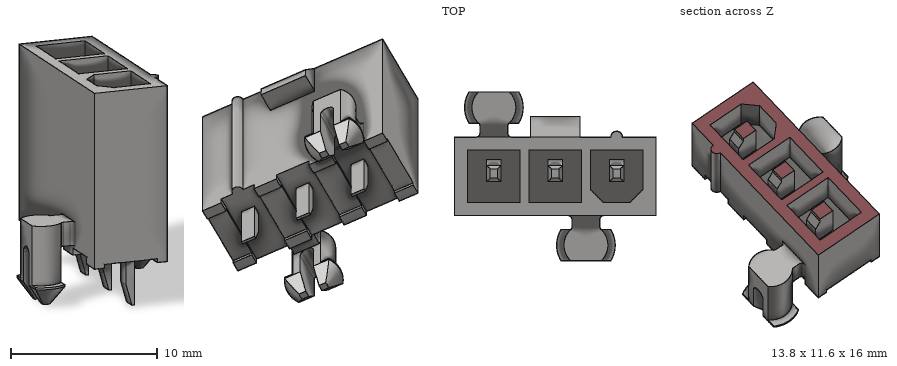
import cadquery as cq
import math


pitch = 4.2
body_length = 13.8
body_depth = 5.38
body_height = 12.47

pocket_size = 3.59
pocket_depth = 9.57
key_chamfer = 0.9

standoff = 0.51
end_foot_length = 1.44
mid_foot_length = 1.7
sole_depth = 0.73
foot_groove_height = 0.27

latch_width = 3.4
latch_reach = 1.4
latch_height = 3.05
latch_ramp_height = 2.26
rib_radius = 0.4

pin_width = 0.99
pin_back_y = 1.15
tail_thickness = 0.62
tail_tip_thickness = 0.19
tail_length = 3.48
tail_bevel_start = 1.98
blade_back_y = 0.75
blade_shoulder_height = 0.59
blade_front_y = -0.37
blade_recess = 3.51
blade_shoulder_depth = 7.98
blade_tip_height = 1.15
blade_tip_inset = 0.24

peg_radius = 1.5
peg_thickness = 2.15
peg_offset = 4.7
peg_top = 2.44
neck_width = 1.91
neck_fillet = 0.27
barb_radius = 2.01
barb_top = -1.77
barb_rim_height = 0.15
barb_bottom = -3.24
barb_tip_radius = 1.04
barb_tip_thickness = 0.46
slot_width = 1.0
slot_top = 0.73

pocket_floor = body_height - pocket_depth
way_xs = [-pitch, 0, pitch]
front_peg_x = pitch / 2
back_peg_x = -pitch


def block(x_size, y_size, z_low, z_high):
    """Box centred on the Z axis between two heights."""
    return cq.Workplane("XY").workplane(offset=z_low).rect(x_size, y_size).extrude(z_high - z_low)


def make_foot(length):
    """Bar across the underside, grooved so that only its two ends touch down."""
    groove = block(length, body_depth - 2 * sole_depth, 0, foot_groove_height)
    return block(length, body_depth, 0, standoff).cut(groove)


def make_housing():
    """Hollow housing standing on two end feet and two middle feet."""
    body = block(body_length, body_depth, standoff, body_height)

    end_foot_x = (body_length - end_foot_length) / 2
    mid_foot_x = pitch / 2
    for side in (-1, 1):
        body = body.union(make_foot(end_foot_length).translate((side * end_foot_x, 0, 0)))
        body = body.union(make_foot(mid_foot_length).translate((side * mid_foot_x, 0, 0)))

    for x in way_xs:
        pocket = block(pocket_size, pocket_size, pocket_floor, body_height)
        if x == way_xs[-1]:
            pocket = pocket.edges("|Z and <Y").chamfer(key_chamfer)
        body = body.cut(pocket.translate((x, 0, 0)))
    return body


def make_latch():
    """Ramped catch that grows out of the back face from the top edge."""
    back = body_depth / 2
    outline = [
        (back, body_height),
        (back + latch_reach, body_height - latch_ramp_height),
        (back + latch_reach, body_height - latch_height),
        (back, body_height - latch_height),
    ]
    return cq.Workplane("YZ").polyline(outline).close().extrude(latch_width / 2, both=True)


def make_rib():
    """Half-round rib on the back face beside the keyed way."""
    rib = cq.Workplane("XY").workplane(offset=standoff).circle(rib_radius).extrude(body_height - standoff)
    outer_half = block(2 * rib_radius, 2 * rib_radius, standoff, body_height).translate((0, rib_radius, 0))
    return rib.intersect(outer_half).translate((pitch, body_depth / 2, 0))


def make_contact():
    """Contact with a tapered blade in the pocket and a bevelled tail below."""
    blade_top = body_height - blade_recess
    blade_tip_base = blade_top - blade_tip_height
    shoulder_low = body_height - blade_shoulder_depth
    shoulder_high = shoulder_low + blade_shoulder_height
    tail_front_y = pin_back_y - tail_thickness
    outline = [
        (blade_front_y, blade_tip_base),
        (blade_back_y, blade_tip_base),
        (blade_back_y, shoulder_high),
        (pin_back_y, shoulder_low),
        (pin_back_y, -tail_length),
        (pin_back_y - tail_tip_thickness, -tail_length),
        (tail_front_y, -tail_bevel_start),
        (tail_front_y, pocket_floor),
        (blade_front_y, pocket_floor),
    ]
    shank = cq.Workplane("YZ").polyline(outline).close().extrude(pin_width / 2, both=True)

    blade_thickness = blade_back_y - blade_front_y
    tip = (
        cq.Workplane("XY")
        .workplane(offset=blade_tip_base)
        .center(0, (blade_back_y + blade_front_y) / 2)
        .rect(pin_width, blade_thickness)
        .workplane(offset=blade_tip_height)
        .rect(pin_width - 2 * blade_tip_inset, blade_thickness - 2 * blade_tip_inset)
        .loft(combine=True)
    )
    return shank.union(tip)


def make_neck():
    """Web from a peg at the origin to the housing face on its +Y side."""
    half_width = neck_width / 2
    face_y = peg_offset - body_depth / 2
    fillet_x = half_width + neck_fillet
    fillet_y = math.sqrt((peg_radius + neck_fillet) ** 2 - fillet_x**2)
    on_circle = peg_radius / (peg_radius + neck_fillet)
    touch_x = fillet_x * on_circle
    touch_y = fillet_y * on_circle
    half = (
        cq.Workplane("XY")
        .workplane(offset=slot_top)
        .lineTo(touch_x, 0)
        .lineTo(touch_x, touch_y)
        .radiusArc((half_width, fillet_y), neck_fillet)
        .lineTo(half_width, face_y - neck_fillet)
        .radiusArc((fillet_x, face_y), neck_fillet)
        .lineTo(0, face_y)
        .close()
        .extrude(peg_top - slot_top)
    )
    return half.union(half.mirror("YZ"))


def make_peg():
    """Split, flat-sided, barbed peg on the Z axis with its web toward +Y."""
    rim_bottom = barb_top - barb_rim_height
    shaft_outline = [
        (0, peg_top),
        (peg_radius, peg_top),
        (peg_radius, barb_top),
        (barb_radius, barb_top),
        (barb_radius, rim_bottom),
        (barb_tip_radius, barb_bottom),
        (0, barb_bottom),
    ]
    shaft = cq.Workplane("XZ").polyline(shaft_outline).close().revolve(360, (0, 0, 0), (0, 1, 0))

    flat_y = peg_thickness / 2
    tip_y = barb_tip_thickness / 2
    flats_outline = [
        (-flat_y, peg_top),
        (flat_y, peg_top),
        (flat_y, rim_bottom),
        (tip_y, barb_bottom),
        (-tip_y, barb_bottom),
        (-flat_y, rim_bottom),
    ]
    flats = cq.Workplane("YZ").polyline(flats_outline).close().extrude(barb_radius, both=True)
    peg = shaft.intersect(flats)

    slot_radius = slot_width / 2
    arc_z = slot_top - slot_radius
    slot = (
        cq.Workplane("XZ")
        .moveTo(-slot_radius, barb_bottom)
        .lineTo(-slot_radius, arc_z)
        .threePointArc((0, slot_top), (slot_radius, arc_z))
        .lineTo(slot_radius, barb_bottom)
        .close()
        .extrude(peg_thickness, both=True)
    )
    return peg.cut(slot).union(make_neck())


result = make_housing().union(make_latch()).union(make_rib())

contact = make_contact()
for way_x in way_xs:
    result = result.union(contact.translate((way_x, 0, 0)))

front_peg = make_peg()
back_peg = front_peg.rotate((0, 0, 0), (0, 0, 1), 180)
result = result.union(front_peg.translate((front_peg_x, -peg_offset, 0)))
result = result.union(back_peg.translate((back_peg_x, peg_offset, 0)))